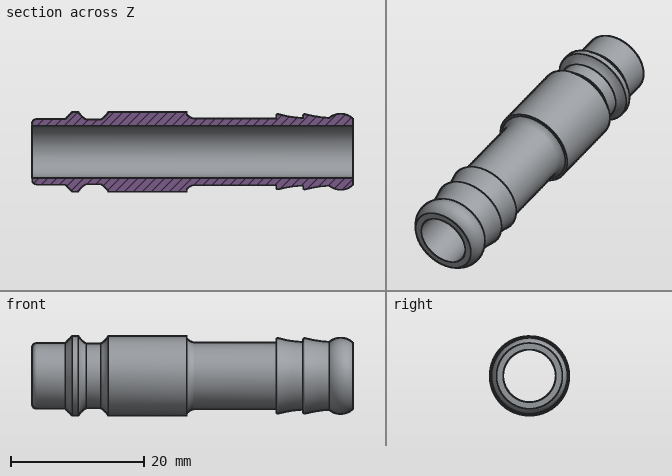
import cadquery as cq


length = 48.3
bore_radius = 7.85 / 2
body_radius = 12.0 / 2

nose_radius = 9.9 / 2
nose_rounding = 0.75
nose_end = 5.02

flange_start = nose_end + (body_radius - nose_radius)
flange_end = 7.0
groove_radius = 9.75 / 2
groove_start = 8.17
body_start = 11.5
groove_end = 10.35
cove_sag = 0.11

body_end = 23.3
shank_radius = 10.1 / 2
shank_fillet_width = 1.0
shank_fillet_height = 0.6

barb_starts = (36.7, 40.75)
barb_tip_radius = 5.7
barb_tip_rounding = 0.3
barb_root_radius = 5.12
barb_sag = 0.1
valley_width = 0.25
bead_start = 44.7
bead_crest_radius = 5.75
bead_edge_radius = 4.95


def hollow_midpoint(start, end, sag):
    """Point half way along a chord, pushed by sag towards the axis, square to the chord."""
    run = end[0] - start[0]
    rise = end[1] - start[1]
    chord = (run**2 + rise**2) ** 0.5
    middle_x = (start[0] + end[0]) / 2
    middle_r = (start[1] + end[1]) / 2
    return (middle_x + sag * rise / chord, middle_r - sag * run / chord)


def hollow_to(outline, start, end, sag):
    """Continue the outline from start to end with a shallow concave arc."""
    return outline.threePointArc(hollow_midpoint(start, end, sag), end)


def add_nose(outline):
    outline = outline.lineTo(0, nose_radius - nose_rounding)
    outline = outline.radiusArc((nose_rounding, nose_radius), nose_rounding)
    return outline.lineTo(nose_end, nose_radius)


def add_flange_and_groove(outline):
    outline = outline.lineTo(flange_start, body_radius).lineTo(flange_end, body_radius)
    outline = hollow_to(outline, (flange_end, body_radius), (groove_start, groove_radius), cove_sag)
    outline = outline.lineTo(groove_end, groove_radius)
    return hollow_to(outline, (groove_end, groove_radius), (body_start, body_radius), cove_sag)


def add_body_and_shank(outline):
    fillet_top = (body_end, shank_radius + shank_fillet_height)
    fillet_foot = (body_end + shank_fillet_width, shank_radius)
    outline = outline.lineTo(body_end, body_radius).lineTo(*fillet_top)
    outline = hollow_to(outline, fillet_top, fillet_foot, cove_sag)
    return outline.lineTo(barb_starts[0], shank_radius)


def add_barb(outline, start, end):
    """Steep front face, rounded tip and a hollow flank falling towards the tail end."""
    tip = (start + barb_tip_rounding, barb_tip_radius)
    outline = outline.lineTo(start, barb_tip_radius - barb_tip_rounding)
    outline = outline.radiusArc(tip, barb_tip_rounding)
    return hollow_to(outline, tip, (end, barb_root_radius), barb_sag)


def add_barbs(outline):
    first, second = barb_starts
    outline = add_barb(outline, first, second - valley_width)
    outline = outline.lineTo(second, barb_root_radius)
    return add_barb(outline, second, bead_start)


def add_bead(outline):
    crest = ((bead_start + length) / 2, bead_crest_radius)
    return outline.threePointArc(crest, (length, bead_edge_radius))


def make_nipple():
    outline = cq.Workplane("XY").moveTo(0, bore_radius)
    outline = add_nose(outline)
    outline = add_flange_and_groove(outline)
    outline = add_body_and_shank(outline)
    outline = add_barbs(outline)
    outline = add_bead(outline)
    outline = outline.lineTo(length, bore_radius).close()
    return outline.revolve(360, (0, 0, 0), (1, 0, 0))


result = make_nipple()